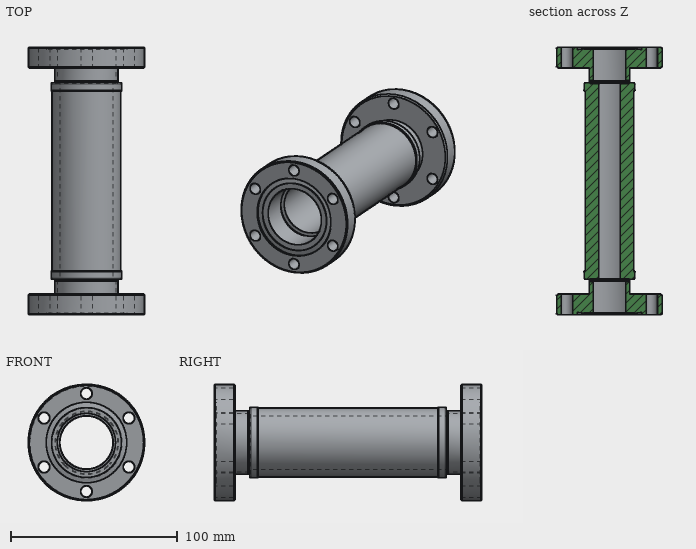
import cadquery as cq

total_length = 160.55
half_length = total_length / 2

flange_diameter = 69.85
flange_thickness = 12.7
flange_front_chamfer = 0.7
flange_back_chamfer = 1.0
bolt_count = 6
bolt_circle_diameter = 58.72
bolt_hole_diameter = 6.7
first_bolt_angle = 90

recess_diameter = 48.3
recess_depth = 1.45
knife_edge_diameter = 41.9
knife_edge_depth = 0.7
seat_depth = 1.2

neck_outer_diameter = 38.1
neck_bore_diameter = 34.9
neck_bore_depth = 20.1
relief_diameter = 37.2
relief_width = 1.6
weld_groove_diameter = 37.8
weld_groove_width = 0.4

collar_diameter = 42.4
collar_start = 21.3
collar_length = 5.2
collar_front_chamfer_length = 1.0
collar_back_chamfer_length = 0.6
collar_chamfer_height = 0.3

sleeve_diameter = 41.4
sleeve_bore_diameter = 31.8


def y_cylinder(diameter, depth, length):
    """Cylinder about the Y axis, starting at a depth behind the -Y face and running toward +Y."""
    plane = cq.Workplane("XZ", origin=(0, depth - half_length, 0))
    return plane.circle(diameter / 2).extrude(-length)


def flange():
    """Flange disc at the -Y end, with its bolt holes."""
    disc = y_cylinder(flange_diameter, 0, flange_thickness)
    disc = disc.faces("<Y").chamfer(flange_front_chamfer)
    disc = disc.faces(">Y").chamfer(flange_back_chamfer)
    holes = (
        cq.Workplane("XZ", origin=(0, -half_length, 0))
        .polarArray(bolt_circle_diameter / 2, first_bolt_angle, 360, bolt_count)
        .circle(bolt_hole_diameter / 2)
        .extrude(-flange_thickness)
    )
    return disc.cut(holes)


def neck():
    """Neck tube blank, running from the flange face into the collar."""
    tube = y_cylinder(neck_outer_diameter, 0, collar_start - weld_groove_width)
    core = y_cylinder(weld_groove_diameter, 0, collar_start + collar_length)
    return tube.union(core)


def collar():
    """Collar ring blank with long, shallow chamfers on both rims."""
    radius = collar_diameter / 2
    front = collar_start - half_length
    back = front + collar_length
    return (
        cq.Workplane("XY")
        .moveTo(0, front)
        .lineTo(radius - collar_chamfer_height, front)
        .lineTo(radius, front + collar_front_chamfer_length)
        .lineTo(radius, back - collar_back_chamfer_length)
        .lineTo(radius - collar_chamfer_height, back)
        .lineTo(0, back)
        .close()
        .revolve(360, (0, 0, 0), (0, 1, 0))
    )


def seal_recess():
    """Void of the sealing recess: sloped outside the knife edge, flat inside it."""
    face = -half_length
    return (
        cq.Workplane("XY")
        .moveTo(0, face)
        .lineTo(recess_diameter / 2, face)
        .lineTo(recess_diameter / 2, face + recess_depth)
        .lineTo(knife_edge_diameter / 2, face + knife_edge_depth)
        .lineTo(knife_edge_diameter / 2, face + seat_depth)
        .lineTo(0, face + seat_depth)
        .close()
        .revolve(360, (0, 0, 0), (0, 1, 0))
    )


def end_solid():
    """Flange, neck and collar of the -Y end, before boring."""
    return flange().union(neck()).union(collar())


def end_void():
    """Everything removed from the -Y end: recess, neck bore and relief groove."""
    neck_bore = y_cylinder(neck_bore_diameter, 0, neck_bore_depth)
    relief = y_cylinder(relief_diameter, neck_bore_depth, relief_width)
    return seal_recess().union(neck_bore).union(relief)


sleeve_start = collar_start + collar_length / 2
sleeve = y_cylinder(sleeve_diameter, sleeve_start, total_length - 2 * sleeve_start)
through_bore = y_cylinder(sleeve_bore_diameter, 0, total_length)

near_end = end_solid()
near_void = end_void()

result = (
    sleeve.union(near_end)
    .union(near_end.mirror("XZ"))
    .cut(through_bore)
    .cut(near_void)
    .cut(near_void.mirror("XZ"))
)